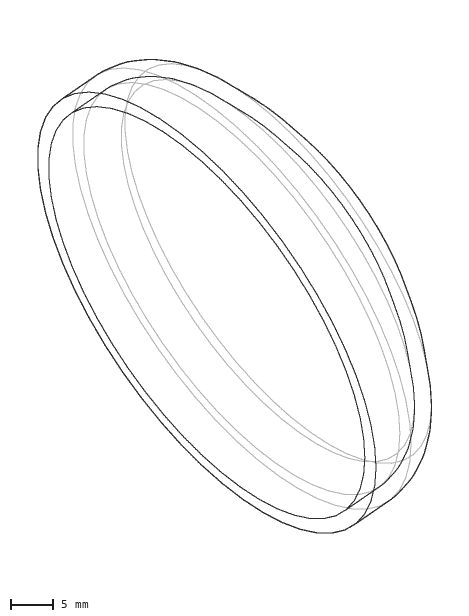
import cadquery as cq
import math

outer_radius = 30.15
height = 20.0
wall = 2.0
crown_radius = 46.0
knuckle_radius = 7.0

crown_center_y = height - crown_radius
knuckle_center_x = outer_radius - knuckle_radius
center_distance = crown_radius - knuckle_radius
skirt_height = crown_center_y + math.sqrt(center_distance**2 - knuckle_center_x**2)

tangent_angle = math.asin(knuckle_center_x / center_distance)


def crown_point(inset, angle):
    """Point on the crown, at an angle from the axis and an inset from the outer face."""
    radius = crown_radius - inset
    return (radius * math.sin(angle), crown_center_y + radius * math.cos(angle))


def knuckle_middle(inset):
    """Point halfway along the knuckle arc."""
    angle = (tangent_angle + math.pi / 2) / 2
    radius = knuckle_radius - inset
    return (knuckle_center_x + radius * math.sin(angle), skirt_height + radius * math.cos(angle))


def dished_solid(inset):
    """Solid of revolution bounded by the cap surface offset inward by the inset."""
    skirt_radius = outer_radius - inset
    profile = (
        cq.Workplane("XY")
        .lineTo(skirt_radius, 0)
        .lineTo(skirt_radius, skirt_height)
        .threePointArc(knuckle_middle(inset), crown_point(inset, tangent_angle))
        .threePointArc(crown_point(inset, tangent_angle / 2), crown_point(inset, 0))
        .close()
    )
    return profile.revolve(360, (0, 0, 0), (0, 1, 0))


result = dished_solid(0).cut(dished_solid(wall))